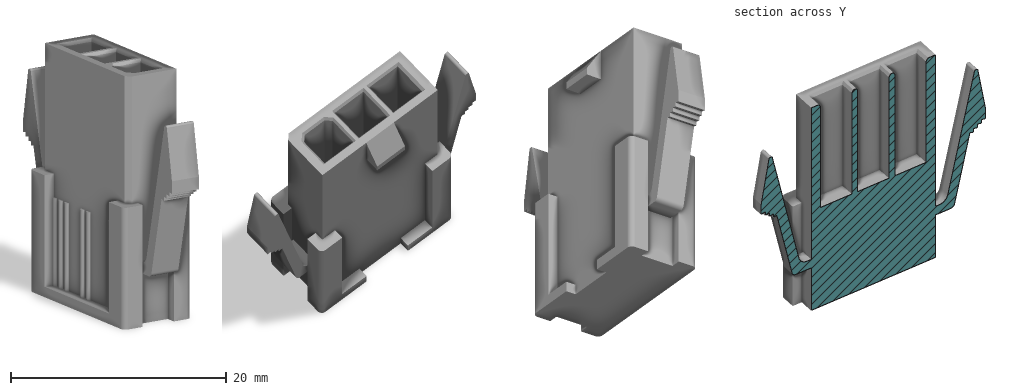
import cadquery as cq
import math

BODY_WIDTH = 14.05
BODY_DEPTH = 5.42
BODY_HEIGHT = 24.0
BODY_CORNER_CHAMFER = 0.5

SKIRT_WIDTH = 16.07
SKIRT_DEPTH = 7.5
SKIRT_HEIGHT = 11.75
SKIRT_CORNER_RADIUS = 0.5
WINDOW_WIDTH = 10.95
WINDOW_SILL = 1.01
REAR_SLOT_WIDTH = 5.02
SIDE_CHANNEL_WIDTH = 3.45

CAVITY_PITCH = 4.18
CAVITY_SIZE = 3.47
CAVITY_FLOOR = SKIRT_HEIGHT
CAVITY_KEY_CHAMFER = 0.53
LEAD_IN = 0.18
LEAD_IN_OUTER = 0.25
LEAD_IN_DEPTH = 0.3

RIDGE_RADIUS = 0.28
RIDGE_TOP = 9.5
RIDGE_PITCH = 1.01
RIDGE_GROUP_PITCH = 4.2
RIDGE_GROUPS = [(-RIDGE_GROUP_PITCH, 3), (0, 2), (RIDGE_GROUP_PITCH, 1)]

LATCH_WIDTH = 3.37
LATCH_REACH = 1.6
LATCH_RAMP_HEIGHT = 2.33
LATCH_HEIGHT = 3.05

ARM_SPAN = 25.35
ARM_WIDTH = 3.0
ARM_OFFSET_Y = 0.05
ARM_THICKNESS = 1.11
ARM_BOTTOM = 5.02
ARM_HEEL_X = 9.1
ARM_HEEL_RADIUS = 0.48
ARM_SLOPE = 0.227
ROOT_TOP = 6.08
ROOT_RADIUS = 0.95
TIP_TOP = 20.22
TIP_RADIUS = 0.23
SHOULDER_TOP = 15.1
TOOTH_TOP = 13.89
TOOTH_COUNT = 4
TOOTH_LENGTH = 0.45
TOOTH_PITCH_Z = 0.33
TOOTH_HOOK = 0.08


def block(width, depth, bottom, top, y=0.0):
    """Upright block centred on x = 0 and on the given y."""
    height = top - bottom
    return cq.Workplane("XY").box(width, depth, height, (True, True, False)).translate((0, y, bottom))


def make_body():
    body = block(BODY_WIDTH, BODY_DEPTH, 0, BODY_HEIGHT)
    return body.edges("|Z and >X and <Y").chamfer(BODY_CORNER_CHAMFER)


def make_skirt():
    skirt = block(SKIRT_WIDTH, SKIRT_DEPTH, 0, SKIRT_HEIGHT).edges("|Z").fillet(SKIRT_CORNER_RADIUS)
    skirt = skirt.cut(block(WINDOW_WIDTH, SKIRT_DEPTH, WINDOW_SILL, SKIRT_HEIGHT))
    skirt = skirt.cut(block(SKIRT_WIDTH, SIDE_CHANNEL_WIDTH, 0, SKIRT_HEIGHT, ARM_OFFSET_Y))
    return skirt.cut(block(REAR_SLOT_WIDTH, SKIRT_DEPTH, 0, SKIRT_HEIGHT, SKIRT_DEPTH / 2))


def cavity_outline(left, right, half_depth, key_chamfer):
    """Corner points of a cavity; a key chamfer cuts both front corners."""
    if key_chamfer == 0:
        front = [(left, -half_depth), (right, -half_depth)]
    else:
        front = [
            (left, key_chamfer - half_depth),
            (left + key_chamfer, -half_depth),
            (right - key_chamfer, -half_depth),
            (right, key_chamfer - half_depth),
        ]
    return front + [(right, half_depth), (left, half_depth)]


def make_cavity(position):
    """Cavity at position -1, 0 or 1; its mouth widens more toward the outer end of the body."""
    half = CAVITY_SIZE / 2
    left = position * CAVITY_PITCH - half
    right = position * CAVITY_PITCH + half
    key_chamfer = CAVITY_KEY_CHAMFER if position == 1 else 0
    mouth_left = left - (LEAD_IN_OUTER if position == -1 else LEAD_IN)
    mouth_right = right + (LEAD_IN_OUTER if position == 1 else LEAD_IN)
    mouth_chamfer = key_chamfer + LEAD_IN / 2 if key_chamfer else 0

    throat = BODY_HEIGHT - LEAD_IN_DEPTH
    inner = cavity_outline(left, right, half, key_chamfer)
    mouth = cavity_outline(mouth_left, mouth_right, half + LEAD_IN, mouth_chamfer)
    shaft = cq.Workplane("XY", (0, 0, CAVITY_FLOOR)).polyline(inner).close().extrude(throat - CAVITY_FLOOR)
    funnel = (
        cq.Workplane("XY", (0, 0, throat))
        .polyline(inner)
        .close()
        .workplane(offset=LEAD_IN_DEPTH)
        .polyline(mouth)
        .close()
        .loft(ruled=True)
    )
    return shaft.union(funnel)


def make_ridges():
    centers = [
        (middle + (i - (count - 1) / 2) * RIDGE_PITCH, -BODY_DEPTH / 2)
        for middle, count in RIDGE_GROUPS
        for i in range(count)
    ]
    return cq.Workplane("XY").pushPoints(centers).circle(RIDGE_RADIUS).extrude(RIDGE_TOP)


def make_latch():
    rear = BODY_DEPTH / 2
    bottom = BODY_HEIGHT - LATCH_HEIGHT
    profile = [
        (0, bottom),
        (rear + LATCH_REACH, bottom),
        (rear + LATCH_REACH, BODY_HEIGHT - LATCH_RAMP_HEIGHT),
        (rear, BODY_HEIGHT),
        (0, BODY_HEIGHT),
    ]
    return cq.Workplane("YZ").polyline(profile).close().extrude(LATCH_WIDTH / 2, both=True)


def make_arm():
    """Spring arm on the +X side, leaning outward, with a toothed grip below its head."""
    lean = math.atan(ARM_SLOPE)
    outer_x = ARM_SPAN / 2

    def outer_face_x(z):
        return ARM_HEEL_X + (z - ARM_BOTTOM) * ARM_SLOPE

    def inner_face_x(z):
        return outer_face_x(z) - ARM_THICKNESS / math.cos(lean)

    root_center_z = ROOT_TOP + ROOT_RADIUS
    root_end_z = root_center_z - ROOT_RADIUS * math.sin(lean)
    root_end_x = inner_face_x(root_end_z)
    root_center_x = root_end_x - ROOT_RADIUS * math.cos(lean)
    root_mid_angle = (math.pi / 2 - lean) / 2
    root_mid = (
        root_center_x + ROOT_RADIUS * math.sin(root_mid_angle),
        root_center_z - ROOT_RADIUS * math.cos(root_mid_angle),
    )

    tip_base_z = TIP_TOP - TIP_RADIUS
    tip_inner_x = inner_face_x(tip_base_z)
    tip_outer_x = tip_inner_x + 2 * TIP_RADIUS

    outline = (
        cq.Workplane("XZ")
        .moveTo(0, ARM_BOTTOM)
        .lineTo(0, ROOT_TOP)
        .lineTo(root_center_x, ROOT_TOP)
        .threePointArc(root_mid, (root_end_x, root_end_z))
        .lineTo(tip_inner_x, tip_base_z)
        .threePointArc((tip_inner_x + TIP_RADIUS, TIP_TOP), (tip_outer_x, tip_base_z))
        .lineTo(outer_x, SHOULDER_TOP)
        .lineTo(outer_x, TOOTH_TOP)
    )
    for i in range(1, TOOTH_COUNT):
        x = outer_x - i * TOOTH_LENGTH
        z = TOOTH_TOP - i * TOOTH_PITCH_Z
        outline = outline.lineTo(x, z + TOOTH_PITCH_Z + TOOTH_HOOK).lineTo(x, z)
    grip_end_z = TOOTH_TOP - (TOOTH_COUNT - 1) * TOOTH_PITCH_Z + TOOTH_HOOK
    outline = outline.lineTo(outer_face_x(grip_end_z), grip_end_z).lineTo(ARM_HEEL_X, ARM_BOTTOM).close()

    arm = outline.extrude(ARM_WIDTH / 2, both=True).translate((0, ARM_OFFSET_Y, 0))
    heel = cq.selectors.NearestToPointSelector((ARM_HEEL_X, ARM_OFFSET_Y, ARM_BOTTOM))
    return arm.edges(heel).fillet(ARM_HEEL_RADIUS)


arm = make_arm()
result = make_body().union(make_skirt()).union(make_ridges()).union(make_latch())
result = result.union(arm).union(arm.mirror("YZ"))
for position in (-1, 0, 1):
    result = result.cut(make_cavity(position))